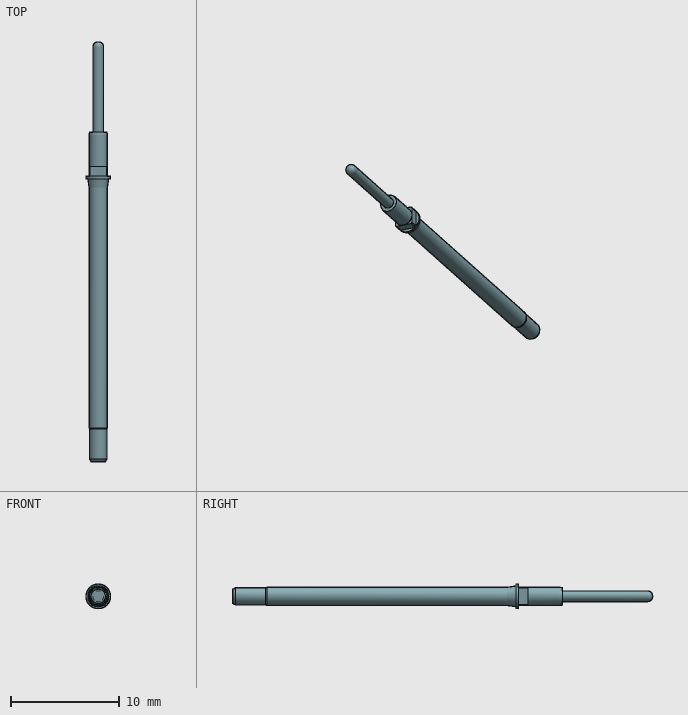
import cadquery as cq


total_length = 38.8
stub_radius = 0.8
stub_cone_length = 0.27
stub_length = 3.03
stub_end_radius = 0.65
barrel_radius = 0.85
barrel_end_chamfer = 0.1
flange_radius = 1.145
flange_thickness = 0.25
seat_radius = 0.97
seat_length = 0.8
square_length = 0.9
nose_length = 3.2
nose_lip_radius = 0.8
nose_cone_length = 0.27
plunger_radius = 0.5
plunger_length = 8.35
plunger_tip_fillet = 0.45

back_y = -total_length / 2
front_y = total_length / 2
stub_cone_y = back_y + stub_cone_length
barrel_back_y = back_y + stub_length
nose_front_y = front_y - plunger_length
nose_cone_y = nose_front_y - nose_cone_length
square_front_y = nose_front_y - nose_length
flange_front_y = square_front_y - square_length
flange_back_y = flange_front_y - flange_thickness
seat_back_y = flange_back_y - seat_length


def cylinder(radius, start_y, end_y):
    """Round bar on the Y axis between two stations."""
    plane = cq.Workplane("XZ", origin=(0, start_y, 0))
    return plane.circle(radius).extrude(start_y - end_y)


def cone(back_radius, front_radius, start_y, end_y):
    """Tapered section on the Y axis between two stations."""
    profile = [(0, start_y), (back_radius, start_y), (front_radius, end_y), (0, end_y)]
    return cq.Workplane("XY").polyline(profile).close().revolve(360, (0, 0), (0, 1))


stub = cylinder(stub_radius, stub_cone_y, barrel_back_y)
stub_end = cone(stub_end_radius, stub_radius, back_y, stub_cone_y)

barrel = cylinder(barrel_radius, barrel_back_y, nose_cone_y).faces("<Y").edges().chamfer(barrel_end_chamfer)
nose = cone(barrel_radius, nose_lip_radius, nose_cone_y, nose_front_y)

flange = cylinder(flange_radius, flange_back_y, flange_front_y)
seat = cone(barrel_radius, seat_radius, seat_back_y, flange_back_y)

square_side = 2 * barrel_radius
square = (
    cylinder(flange_radius, flange_front_y, square_front_y)
    .intersect(cq.Workplane("XY").box(square_side, total_length, square_side))
)

plunger = cylinder(plunger_radius, nose_front_y, front_y).faces(">Y").edges().fillet(plunger_tip_fillet)

result = stub
for section in (stub_end, barrel, nose, flange, seat, square, plunger):
    result = result.union(section)